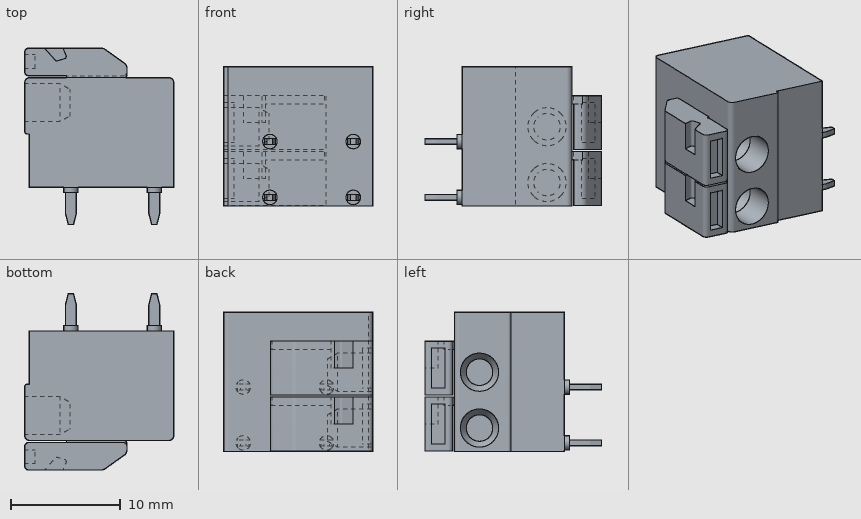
import cadquery as cq

OVERALL_DEPTH = 16.1
POLES = 2
POLE_PITCH = 5.09

HOUSING_WIDTH = 13.6
HOUSING_DEPTH = 10.01
HOUSING_HEIGHT = 12.7
HOUSING_CORNER_RADIUS = 0.48
STEP_X = 0.42
STEP_Y = 4.86
STEP_RADIUS = 0.24

WIRE_HOLE_Y = 7.73
WIRE_HOLE_Z = 2.14
WIRE_HOLE_MOUTH_RADIUS = 1.74
WIRE_HOLE_END_RADIUS = 1.2
WIRE_HOLE_STRAIGHT_DEPTH = 3.22
WIRE_HOLE_TAPER_DEPTH = 0.92
WIRE_HOLE_DEPTH = WIRE_HOLE_STRAIGHT_DEPTH + WIRE_HOLE_TAPER_DEPTH

LEVER_LENGTH = 9.34
LEVER_BOTTOM_Y = 10.16
LEVER_TOP_Y = 12.7
LEVER_START_Z = 0.05
LEVER_HEIGHT = 4.93
LEVER_END_Z = LEVER_START_Z + LEVER_HEIGHT
LEVER_CORNER_RADIUS = 0.4
SLOPE_START_X = 7.16
SLOPE_END_Y = 11.15
SLOPE_RADIUS = 0.65

RIB_START_X = 3.8
RIB_BOTTOM_Y = 9.92
RIB_TOP_Y = 10.95
RIB_HEIGHT = 0.77

WINDOW_BOTTOM_Y = 10.85
WINDOW_TOP_Y = 12.1
WINDOW_WALL = 0.65
WINDOW_HEIGHT = LEVER_HEIGHT - 2 * WINDOW_WALL
WINDOW_DEPTH = 0.93

NOTCH_OUTLINE = [(1.8, LEVER_TOP_Y), (2.88, 11.5), (3.86, 11.8), (3.5, LEVER_TOP_Y)]
NOTCH_RADIUS = 0.2
NOTCH_DEPTH = LEVER_HEIGHT / 2

PIN_FIRST_X = 4.22
PIN_SPACING_X = 7.6
PIN_FIRST_Z = 0.79
PIN_LENGTH = OVERALL_DEPTH - LEVER_TOP_Y
PIN_TAPER_Y = 2.37
PIN_WIDTH = 1.01
PIN_TIP_WIDTH = 0.48
PIN_THICKNESS = 0.53
COLLAR_RADIUS = 0.66
COLLAR_HEIGHT = 0.48


def round_corner(solid, corner, radius):
    """Fillet the edge along Z that lies at the given (x, y) corner."""
    middle_z = solid.val().Center().z
    nearest = cq.selectors.NearestToPointSelector((*corner, middle_z))
    return solid.edges("|Z").edges(nearest).fillet(radius)


def make_housing():
    body = cq.Workplane("XY").box(
        HOUSING_WIDTH, HOUSING_DEPTH, HOUSING_HEIGHT, centered=False
    )
    body = body.edges("|Z and >Y").fillet(HOUSING_CORNER_RADIUS)
    step = cq.Workplane("XY").box(STEP_X, STEP_Y, HOUSING_HEIGHT, centered=False)
    body = body.cut(step)
    return round_corner(body, (0, STEP_Y), STEP_RADIUS)


def make_wire_hole(z):
    """Blind hole with a straight mouth and a tapered end, revolved about its axis along X."""
    profile = [
        (0, 0),
        (0, WIRE_HOLE_MOUTH_RADIUS),
        (WIRE_HOLE_STRAIGHT_DEPTH, WIRE_HOLE_MOUTH_RADIUS),
        (WIRE_HOLE_DEPTH, WIRE_HOLE_END_RADIUS),
        (WIRE_HOLE_DEPTH, 0),
    ]
    hole = cq.Workplane("XY").polyline(profile).close().revolve(360, (0, 0), (1, 0))
    return hole.translate((0, WIRE_HOLE_Y, z))


def make_lever():
    """Lever of the lowest pole, with its rib, window and notch."""
    outline = [
        (0, LEVER_BOTTOM_Y),
        (0, LEVER_TOP_Y),
        (SLOPE_START_X, LEVER_TOP_Y),
        (LEVER_LENGTH, SLOPE_END_Y),
        (LEVER_LENGTH, LEVER_BOTTOM_Y),
    ]
    lever = cq.Workplane("XY").workplane(offset=LEVER_START_Z)
    lever = lever.polyline(outline).close().extrude(LEVER_HEIGHT)
    lever = lever.edges("|Z and (<X or <Y)").fillet(LEVER_CORNER_RADIUS)
    for corner in outline[2:4]:
        lever = round_corner(lever, corner, SLOPE_RADIUS)

    rib = cq.Workplane("XY").box(
        LEVER_LENGTH - RIB_START_X, RIB_TOP_Y - RIB_BOTTOM_Y, RIB_HEIGHT, centered=False
    )
    rib = rib.edges("|Z and >X and <Y").fillet(LEVER_CORNER_RADIUS)
    rib = rib.translate((RIB_START_X, RIB_BOTTOM_Y, LEVER_END_Z - RIB_HEIGHT))

    window = cq.Workplane("XY").box(
        WINDOW_DEPTH, WINDOW_TOP_Y - WINDOW_BOTTOM_Y, WINDOW_HEIGHT, centered=False
    )
    window = window.translate((0, WINDOW_BOTTOM_Y, LEVER_START_Z + WINDOW_WALL))

    notch = cq.Workplane("XY").workplane(offset=LEVER_END_Z - NOTCH_DEPTH)
    notch = notch.polyline(NOTCH_OUTLINE).close().extrude(NOTCH_DEPTH)
    for corner in NOTCH_OUTLINE[1:3]:
        notch = round_corner(notch, corner, NOTCH_RADIUS)

    return lever.union(rib).cut(window).cut(notch)


def make_pin(x, z):
    """Flat tapered pin with a round collar, rooted in the pin face."""
    half_width = PIN_WIDTH / 2
    half_tip = PIN_TIP_WIDTH / 2
    blade = (
        cq.Workplane("XY")
        .polyline([
            (-half_width, 0),
            (-half_width, -PIN_TAPER_Y),
            (-half_tip, -PIN_LENGTH),
            (half_tip, -PIN_LENGTH),
            (half_width, -PIN_TAPER_Y),
            (half_width, 0),
        ])
        .close()
        .extrude(PIN_THICKNESS / 2, both=True)
    )
    collar = cq.Workplane("XZ").circle(COLLAR_RADIUS).extrude(COLLAR_HEIGHT)
    return blade.union(collar).translate((x, 0, z))


result = make_housing()
pole_lever = make_lever()
for pole in range(POLES):
    pole_z = pole * POLE_PITCH
    result = result.cut(make_wire_hole(WIRE_HOLE_Z + pole_z))
    result = result.union(pole_lever.translate((0, 0, pole_z)))
    for pin_x in (PIN_FIRST_X, PIN_FIRST_X + PIN_SPACING_X):
        result = result.union(make_pin(pin_x, PIN_FIRST_Z + pole_z))